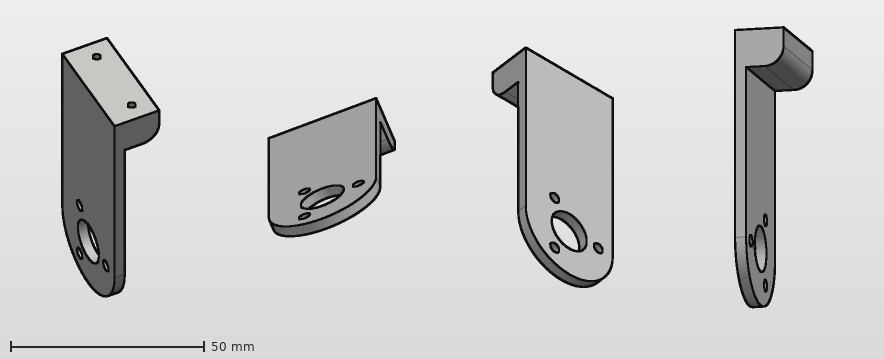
import cadquery as cq

width = 30.0
plate_thickness = 3.0
overall_height = 70.0
end_radius = width / 2
top_z = overall_height - end_radius

bore_diameter = 12.0
screw_hole_diameter = 3.0
screw_circle_radius = 10.0
screw_hole_count = 3

block_depth = 10.0
block_height = 10.0
block_round_radius = 5.0

pilot_hole_diameter = 2.0
pilot_hole_depth = 8.0
pilot_hole_spacing = 20.0
pilot_hole_offset = 4.5
pilot_hole_y = plate_thickness + pilot_hole_offset


def make_plate():
    """Flat plate with a square top and a half-round lower end."""
    return (
        cq.Workplane("XZ")
        .moveTo(-end_radius, 0)
        .threePointArc((0, -end_radius), (end_radius, 0))
        .lineTo(end_radius, top_z)
        .lineTo(-end_radius, top_z)
        .close()
        .extrude(-plate_thickness)
    )


def make_block():
    """Full-width block whose lower rear edge is rounded."""
    block = cq.Workplane("XY").box(width, block_depth, block_height, centered=(True, False, False))
    block = block.edges("|X and >Y and <Z").fillet(block_round_radius)
    return block.translate((0, plate_thickness, top_z - block_height))


def make_plate_holes():
    """Cutters for the central bore and the evenly spaced screw holes."""
    bore = cq.Workplane("XZ").circle(bore_diameter / 2).extrude(-plate_thickness)
    screw_holes = (
        cq.Workplane("XZ")
        .polarArray(screw_circle_radius, 0, 360, screw_hole_count)
        .circle(screw_hole_diameter / 2)
        .extrude(-plate_thickness)
    )
    return bore.union(screw_holes)


def make_pilot_holes():
    """Cutters for the two blind holes drilled down from the top face."""
    half_spacing = pilot_hole_spacing / 2
    return (
        cq.Workplane("XY", origin=(0, pilot_hole_y, top_z))
        .pushPoints([(-half_spacing, 0), (half_spacing, 0)])
        .circle(pilot_hole_diameter / 2)
        .extrude(-pilot_hole_depth)
    )


result = make_plate().union(make_block()).cut(make_plate_holes()).cut(make_pilot_holes())